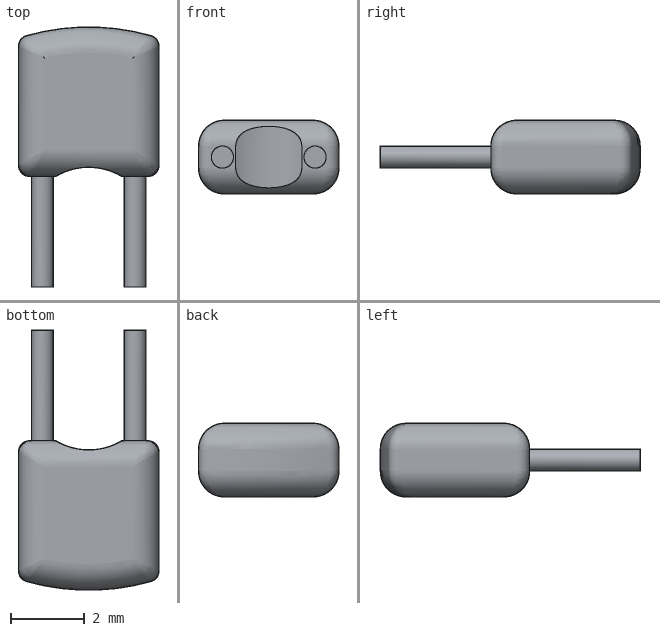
import cadquery as cq

total_length = 7.04
body_width = 3.8
body_height = 2.0
body_length = 4.05

crown_rise = 0.3
edge_radius = 0.705
corner_radius = 0.3
notch_width = 1.79
notch_depth = 0.245

lead_diameter = 0.6
lead_pitch = 2.505
lead_length = total_length - body_length

half_width = body_width / 2


def housing_block():
    """Sharp-edged block: flat front wall at Y = 0 and a bulged rear wall."""
    shoulder = body_length - crown_rise
    return (
        cq.Workplane("XY", origin=(0, 0, -body_height / 2))
        .moveTo(-half_width, 0)
        .lineTo(half_width, 0)
        .lineTo(half_width, shoulder)
        .threePointArc((0, body_length), (-half_width, shoulder))
        .close()
        .extrude(body_height)
    )


def notch_cutter():
    """Shallow round recess running the full height of the front wall."""
    notch_radius = ((notch_width / 2) ** 2 + notch_depth**2) / (2 * notch_depth)
    return (
        cq.Workplane("XY", origin=(0, notch_depth - notch_radius, -body_height / 2))
        .circle(notch_radius)
        .extrude(body_height)
    )


def make_housing():
    """Block rounded along its rims, then down each corner, with the front notch cut last."""
    rim_rounded = housing_block().faces("<Z or >Z").edges().fillet(edge_radius)
    corner_rounded = rim_rounded.edges("|Z").fillet(corner_radius)
    return cq.Workplane(corner_rounded.cut(notch_cutter()).solids().val())


def make_lead(x):
    """Straight round lead butting against the front wall of the housing."""
    return (
        cq.Workplane("XZ", origin=(x, 0, 0))
        .circle(lead_diameter / 2)
        .extrude(lead_length)
    )


housing = make_housing()
leads = [make_lead(side * lead_pitch / 2) for side in (-1, 1)]

result = cq.Compound.makeCompound([housing.val(), *[lead.val() for lead in leads]])